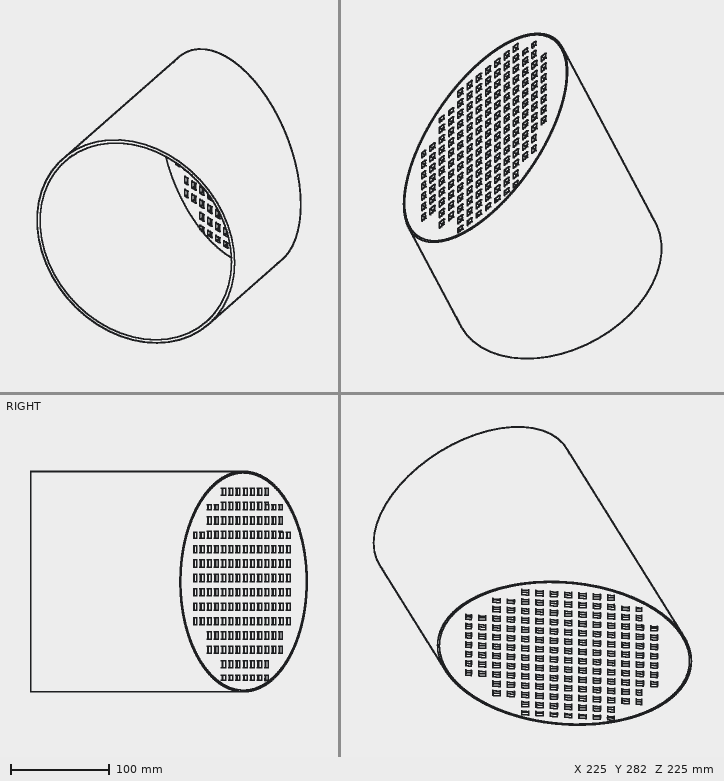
import cadquery as cq
import math

tube_length = 282.0
tube_diameter = 225.0
bore_diameter = 218.0
miter_angle = 30.0

plate_diameter = 221.5
plate_thickness = 3.5

opening_size = 7.3
opening_pitch = 14.7
column_count = 14
row_count = 14
first_column = -93.5
first_row = 91.5

opening_windows = [
    (-52.7, 45.0, -100.6, 98.7),
    (-81.0, 74.7, -76.5, 78.5),
    (-97.0, 99.0, -47.5, 50.5),
]

miter_sine = math.sin(math.radians(miter_angle))
miter_cosine = math.cos(math.radians(miter_angle))
along_miter = (miter_cosine, -miter_sine, 0)
inward = (-miter_sine, -miter_cosine, 0)

square_end_y = -tube_length / 2
miter_y = tube_length / 2 - tube_diameter / 2 * miter_sine / miter_cosine
inner_face_y = miter_y - plate_thickness / miter_cosine

slab_size = 2 * tube_length


def miter_workplane(axis_y):
    """Workplane parallel to the miter that crosses the tube axis at axis_y."""
    return cq.Workplane(cq.Plane(origin=(0, axis_y, 0), xDir=along_miter, normal=inward))


def long_cylinder(diameter):
    """Cylinder along the tube axis, from the square end to the tip of the miter."""
    return cq.Workplane("XZ", origin=(0, square_end_y, 0)).circle(diameter / 2).extrude(-tube_length)


def miter_slab(thickness):
    """Slab that reaches from the miter into the tube by the given thickness."""
    return miter_workplane(miter_y).rect(slab_size, slab_size).extrude(thickness)


def make_plate_blank():
    """Plate without openings. It is also the shape of its seat in the tube."""
    return long_cylinder(plate_diameter).intersect(miter_slab(plate_thickness))


def make_tube():
    body = long_cylinder(tube_diameter).intersect(miter_slab(slab_size))
    return body.cut(long_cylinder(bore_diameter)).cut(make_plate_blank()).solids()


def window_openings(left, right, bottom, top):
    """Prisms for the parts of the grid openings that lie inside one window."""
    half_opening = opening_size / 2
    sketch = miter_workplane(inner_face_y)
    for column in range(column_count):
        column_center = first_column + column * opening_pitch
        opening_left = max(column_center - half_opening, left)
        opening_right = min(column_center + half_opening, right)
        for row in range(row_count):
            row_center = first_row - row * opening_pitch
            opening_bottom = max(row_center - half_opening, bottom)
            opening_top = min(row_center + half_opening, top)
            width = opening_right - opening_left
            height = opening_top - opening_bottom
            if width > 0 and height > 0:
                sketch = sketch.moveTo(opening_left, opening_bottom).rect(width, height, centered=False)
    return sketch.extrude(-plate_thickness)


def make_screen_plate():
    plate = make_plate_blank()
    for window in opening_windows:
        plate = plate.cut(window_openings(*window))
    return plate.solids()


tube = make_tube()
screen_plate = make_screen_plate()

result = cq.Compound.makeCompound([tube.val(), screen_plate.val()])